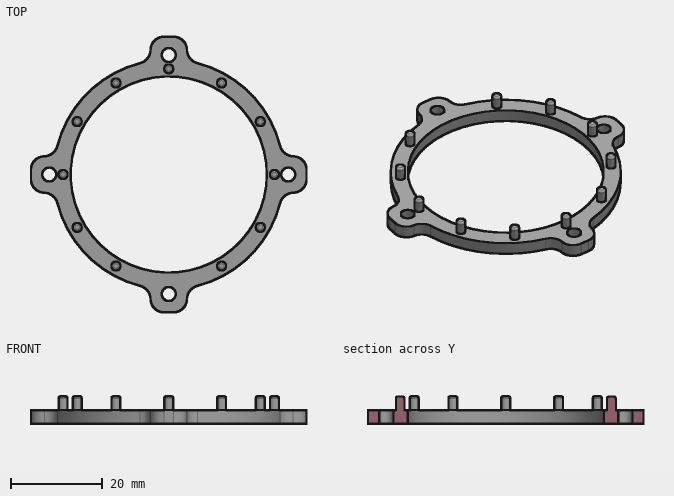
import cadquery as cq
import math

outer_span = 60.0
plate_thickness = 3.0
inner_radius = 21.3
ring_radius = 25.0

ear_count = 4
ear_width = 8.0
corner_radius = 3.0
blend_radius = 3.0
ear_hole_diameter = 3.0
ear_hole_circle_radius = 26.0

pin_positions = 12
empty_pin_angle = 270
pin_diameter = 2.0
pin_height = 3.0
pin_tip_fillet = 0.5
pin_circle_radius = 23.0


def polar(radius, angle):
    """Point at a distance and an angle in degrees from the ring centre."""
    return (radius * math.cos(math.radians(angle)), radius * math.sin(math.radians(angle)))


def evenly_spaced(count):
    return [index * 360 / count for index in range(count)]


def ear(angle):
    """Rounded ear whose corners run smoothly through concave blends into the ring."""
    tip = outer_span / 2
    corner_x = tip - corner_radius
    corner_y = ear_width / 2 - corner_radius

    corner_distance = math.hypot(corner_x, corner_y)
    blend_distance = ring_radius + blend_radius
    centre_gap = corner_radius + blend_radius
    cos_offset = (corner_distance**2 + blend_distance**2 - centre_gap**2) / (
        2 * corner_distance * blend_distance
    )
    blend_angle = math.atan2(corner_y, corner_x) + math.acos(cos_offset)
    blend_x, blend_y = polar(blend_distance, math.degrees(blend_angle))
    ring_x, ring_y = polar(ring_radius, math.degrees(blend_angle))

    corner_share = corner_radius / centre_gap
    meet_x = corner_x + (blend_x - corner_x) * corner_share
    meet_y = corner_y + (blend_y - corner_y) * corner_share

    meet_angle = math.degrees(math.atan2(meet_y - corner_y, meet_x - corner_x))
    corner_dx, corner_dy = polar(corner_radius, meet_angle / 2)
    corner_mid = (corner_x + corner_dx, corner_y + corner_dy)

    start_angle = math.degrees(math.atan2(meet_y - blend_y, meet_x - blend_x))
    end_angle = math.degrees(math.atan2(ring_y - blend_y, ring_x - blend_x)) % 360
    blend_dx, blend_dy = polar(blend_radius, (start_angle % 360 + end_angle) / 2)
    blend_mid = (blend_x + blend_dx, blend_y + blend_dy)

    half = (
        cq.Workplane("XY")
        .moveTo(inner_radius, 0)
        .lineTo(tip, 0)
        .lineTo(tip, corner_y)
        .threePointArc(corner_mid, (meet_x, meet_y))
        .threePointArc(blend_mid, (ring_x, ring_y))
        .lineTo(inner_radius, ring_y)
        .close()
        .extrude(plate_thickness)
    )
    whole = half.union(half.mirror("XZ"))
    return whole.rotate((0, 0, 0), (0, 0, 1), angle)


def pin():
    return (
        cq.Workplane("XY")
        .circle(pin_diameter / 2)
        .extrude(plate_thickness + pin_height)
        .faces(">Z")
        .edges()
        .fillet(pin_tip_fillet)
    )


ear_angles = evenly_spaced(ear_count)
plate = cq.Workplane("XY").circle(ring_radius).extrude(plate_thickness)
for ear_angle in ear_angles:
    plate = plate.union(ear(ear_angle))
plate = plate.clean()

bore = cq.Workplane("XY").circle(inner_radius).extrude(plate_thickness)
ear_holes = (
    cq.Workplane("XY")
    .pushPoints([polar(ear_hole_circle_radius, ear_angle) for ear_angle in ear_angles])
    .circle(ear_hole_diameter / 2)
    .extrude(plate_thickness)
)
result = plate.cut(bore).cut(ear_holes)

for pin_angle in evenly_spaced(pin_positions):
    if pin_angle != empty_pin_angle:
        pin_x, pin_y = polar(pin_circle_radius, pin_angle)
        result = result.union(pin().translate((pin_x, pin_y, 0)))